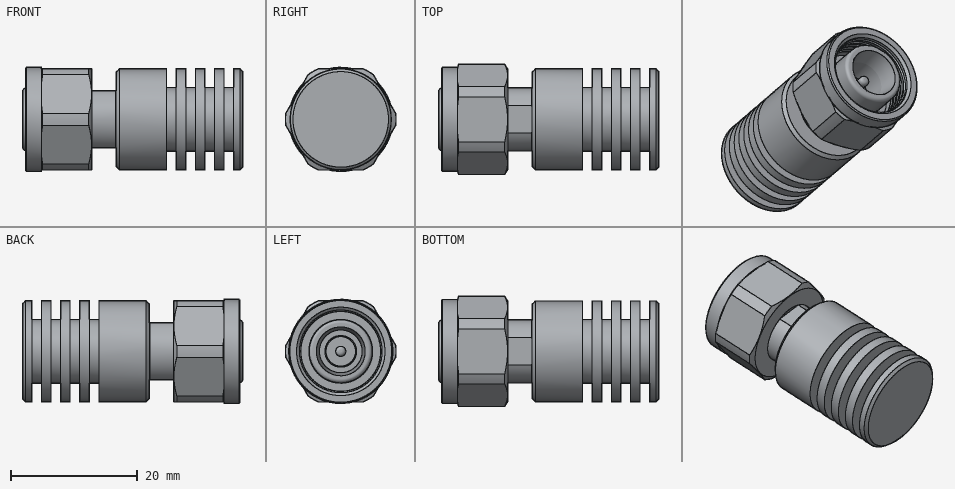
import cadquery as cq
import math

TOTAL_LENGTH = 34.8
AXIS_END = (1, 0, 0)

NUT_FRONT = 0.42
NUT_BACK = 10.93
COLLAR_BACK = 2.95
COLLAR_RADIUS = 8.25
COLLAR_CHAMFER = 0.2
HEX_SIDES = 6
HEX_ACROSS_FLATS = 16.0
HEX_CORNER_RADIUS = 17.5 / 2
HEX_FRONT_RADIUS = 8.18
HEX_FRONT_CHAMFER_LENGTH = 0.2
HEX_BACK_RADIUS = 7.95
HEX_BACK_CHAMFER_LENGTH = 0.5
NUT_MOUTH_RADIUS = 7.0
NUT_MOUTH_CHAMFER = 0.45
THREAD_CREST_RADIUS = 6.35
THREAD_PITCH = 1.0
THREAD_TURNS = 5
RIDGE_WIDTH = THREAD_PITCH / 2
NUT_SEAT = 8.7

SLEEVE_RADIUS = 4.98
SLEEVE_LIP_FILLET = 0.55
SLEEVE_MOUTH_RADIUS = 3.85
SLEEVE_BORE_RADIUS = 3.38
SLEEVE_TAPER_LENGTH = 3.45
SLEEVE_FLOOR = 7.65
FLANGE_THICKNESS = 1.05
NECK_RADIUS = 5.0
NECK_END_CHAMFER = 0.1
NECK_ACROSS_FLATS = 9.05

GASKET_RADIUS = 6.3
GASKET_THICKNESS = 0.7
GASKET_HOLE_RADIUS = 5.05

HOUSING_FRONT = 14.8
HOUSING_RADIUS = 8.0
HOUSING_FRONT_CHAMFER = 0.52
HOUSING_BACK_CHAMFER = 0.45
CORE_RADIUS = 5.05
FIN_PITCH = 3.03
GROOVE_WIDTH = 1.5
END_FIN_WIDTH = 1.45
GROOVE_COUNT = 4

INSULATOR_RADIUS = 2.5
INSULATOR_FRONT = 6.95
INSULATOR_CHAMFER = 0.17
PIN_RADIUS = 0.8
PIN_TIP = 2.6
PIN_TIP_FILLET = 0.55

FLANGE_FRONT = NUT_SEAT - FLANGE_THICKNESS
THREAD_ROOT_RADIUS = NUT_MOUTH_RADIUS - NUT_MOUTH_CHAMFER
GASKET_FRONT = FLANGE_FRONT - GASKET_THICKNESS


def cylinder(x_start, x_end, radius):
    """Solid cylinder along X."""
    return cq.Workplane("YZ", origin=(x_start, 0, 0)).circle(radius).extrude(x_end - x_start)


def turned(outline):
    """Solid of revolution about X from (x, radius) points."""
    return cq.Workplane("XY").polyline(outline).close().revolve(360, (0, 0, 0), AXIS_END)


def hex_section():
    """Hexagon with its corners turned to a cylinder and chamfered at both ends."""
    across_corners = HEX_ACROSS_FLATS / math.cos(math.pi / HEX_SIDES)
    prism = (
        cq.Workplane("YZ", origin=(COLLAR_BACK, 0, 0))
        .polygon(HEX_SIDES, across_corners)
        .extrude(NUT_BACK - COLLAR_BACK)
    )
    envelope = turned([
        (COLLAR_BACK, 0),
        (COLLAR_BACK, HEX_FRONT_RADIUS),
        (COLLAR_BACK + HEX_FRONT_CHAMFER_LENGTH, HEX_CORNER_RADIUS),
        (NUT_BACK - HEX_BACK_CHAMFER_LENGTH, HEX_CORNER_RADIUS),
        (NUT_BACK, HEX_BACK_RADIUS),
        (NUT_BACK, 0),
    ])
    return prism.intersect(envelope)


def nut_cavity():
    """Chamfered mouth, ring-shaped thread ridges, and the plain bore that holds gasket and flange."""
    thread_start = NUT_FRONT + NUT_MOUTH_CHAMFER
    outline = [
        (NUT_FRONT, 0),
        (NUT_FRONT, NUT_MOUTH_RADIUS),
        (thread_start, THREAD_ROOT_RADIUS),
    ]
    for turn in range(THREAD_TURNS):
        ridge_end = thread_start + (turn + 1) * THREAD_PITCH
        outline += [
            (ridge_end - RIDGE_WIDTH, THREAD_ROOT_RADIUS),
            (ridge_end - RIDGE_WIDTH / 2, THREAD_CREST_RADIUS),
            (ridge_end, THREAD_ROOT_RADIUS),
        ]
    outline += [
        (NUT_SEAT, THREAD_ROOT_RADIUS),
        (NUT_SEAT, NECK_RADIUS),
        (NUT_BACK, NECK_RADIUS),
        (NUT_BACK, 0),
    ]
    return turned(outline)


def make_nut():
    collar = cylinder(NUT_FRONT, COLLAR_BACK, COLLAR_RADIUS).faces("<X").chamfer(COLLAR_CHAMFER)
    return collar.union(hex_section()).cut(nut_cavity())


def make_body():
    sleeve = cylinder(0, FLANGE_FRONT, SLEEVE_RADIUS).faces("<X").edges().fillet(SLEEVE_LIP_FILLET)
    flange = cylinder(FLANGE_FRONT, NUT_SEAT, GASKET_RADIUS)
    neck = cylinder(NUT_SEAT, HOUSING_FRONT, NECK_RADIUS).faces(">X").chamfer(NECK_END_CHAMFER)
    flatted = (
        cq.Workplane("YZ", origin=(NUT_BACK, 0, 0))
        .rect(2 * NECK_RADIUS, NECK_ACROSS_FLATS)
        .extrude(HOUSING_FRONT - NUT_BACK)
    )
    envelope = cylinder(NUT_SEAT, NUT_BACK, NECK_RADIUS).union(flatted)
    neck = neck.intersect(envelope)
    bore = turned([
        (0, 0),
        (0, SLEEVE_MOUTH_RADIUS),
        (SLEEVE_TAPER_LENGTH, SLEEVE_BORE_RADIUS),
        (SLEEVE_FLOOR, SLEEVE_BORE_RADIUS),
        (SLEEVE_FLOOR, INSULATOR_RADIUS),
        (HOUSING_FRONT, INSULATOR_RADIUS),
        (HOUSING_FRONT, 0),
    ])
    return sleeve.union(flange).union(neck).cut(bore)


def make_gasket():
    blank = cylinder(GASKET_FRONT, FLANGE_FRONT, GASKET_RADIUS)
    return blank.cut(cylinder(GASKET_FRONT, FLANGE_FRONT, GASKET_HOLE_RADIUS))


def make_housing():
    housing = cylinder(HOUSING_FRONT, TOTAL_LENGTH, HOUSING_RADIUS)
    housing = housing.faces("<X").chamfer(HOUSING_FRONT_CHAMFER)
    housing = housing.faces(">X").chamfer(HOUSING_BACK_CHAMFER)
    for index in range(GROOVE_COUNT):
        groove_back = TOTAL_LENGTH - END_FIN_WIDTH - index * FIN_PITCH
        groove_front = groove_back - GROOVE_WIDTH
        ring = cylinder(groove_front, groove_back, HOUSING_RADIUS)
        housing = housing.cut(ring.cut(cylinder(groove_front, groove_back, CORE_RADIUS)))
    return housing


def make_insulator():
    blank = cylinder(INSULATOR_FRONT, HOUSING_FRONT, INSULATOR_RADIUS)
    blank = blank.faces("<X").chamfer(INSULATOR_CHAMFER)
    return blank.cut(cylinder(INSULATOR_FRONT, HOUSING_FRONT, PIN_RADIUS))


def make_pin():
    pin = cylinder(PIN_TIP, HOUSING_FRONT, PIN_RADIUS)
    return pin.faces("<X").edges().fillet(PIN_TIP_FILLET)


nut = make_nut()
body = make_body()
gasket = make_gasket()
housing = make_housing()
insulator = make_insulator()
pin = make_pin()

result = cq.Compound.makeCompound([
    nut.val(),
    body.val(),
    gasket.val(),
    housing.val(),
    insulator.val(),
    pin.val(),
])